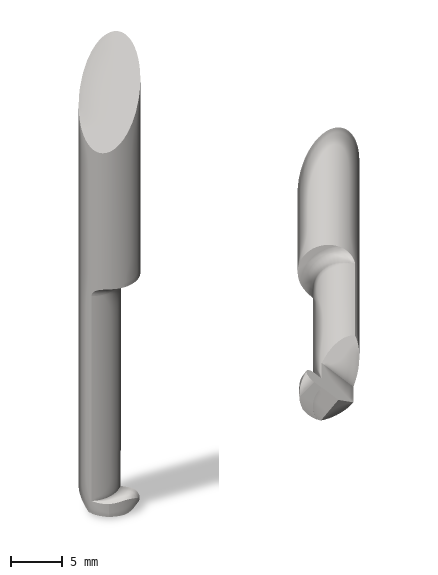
import cadquery as cq
import math

LENGTH = 52.45
DIAMETER = 6.0
RADIUS = DIAMETER / 2
END_ANGLE = 60.0
END_RISE = DIAMETER * math.tan(math.radians(END_ANGLE))
CLEARANCE = 5.25

NECK_SHIFT = 1.95
NECK_TOP = 26.5
NECK_FILLET = 1.15
NECK_EDGE_X = -NECK_SHIFT / 2

RAKE_Y = 0.2
RAKE_HEIGHT = 5.35
BOTTOM_LIFT = 0.1
RELIEF_ANGLE = 4.5

HEAD_HEIGHT = 2.0
HEAD_NOSE_RADIUS = HEAD_HEIGHT / 2
HEEL_X = 0.85
HEEL_Y = -math.sqrt(RADIUS**2 - HEEL_X**2)
FLANK_MIDDLE = (2.2, -1.8)


def neck_cylinder(height):
    return cq.Workplane("XY").center(-NECK_SHIFT, 0).circle(RADIUS).extrude(height)


def blank():
    """Round bar with a slanted top, highest on +Y."""
    bar = cq.Workplane("XY").circle(RADIUS).extrude(LENGTH)
    top_cut = (
        cq.Workplane("YZ")
        .moveTo(RADIUS, LENGTH)
        .lineTo(-RADIUS, LENGTH - END_RISE)
        .lineTo(-RADIUS, LENGTH)
        .close()
        .extrude(RADIUS, both=True)
    )
    return bar.cut(top_cut)


def neck_cutter():
    """Ring around the neck axis, with a rounded inner corner at the shoulder."""
    outer = DIAMETER + CLEARANCE
    corner = NECK_FILLET * (1 - math.sqrt(0.5))
    return (
        cq.Workplane("XZ")
        .moveTo(RADIUS, -CLEARANCE)
        .lineTo(RADIUS, NECK_TOP - NECK_FILLET)
        .threePointArc(
            (RADIUS + corner, NECK_TOP - corner),
            (RADIUS + NECK_FILLET, NECK_TOP),
        )
        .lineTo(outer, NECK_TOP)
        .lineTo(outer, -CLEARANCE)
        .close()
        .revolve(360, (0, 0), (0, 1))
        .translate((-NECK_SHIFT, 0, 0))
    )


def rake_cutter():
    """Removes the +Y half of the tip and the slope leading to it."""
    slope_run = RADIUS - RAKE_Y
    slope_rise = slope_run * math.tan(math.radians(END_ANGLE))
    return (
        cq.Workplane("YZ")
        .moveTo(RAKE_Y, 0)
        .lineTo(RAKE_Y, RAKE_HEIGHT)
        .lineTo(RADIUS, RAKE_HEIGHT + slope_rise)
        .lineTo(RADIUS, 0)
        .close()
        .extrude(RADIUS, both=True)
    )


def corner_cutter():
    """45 degree chamfer under the -X side of the tip."""
    side = NECK_EDGE_X + RADIUS
    return (
        cq.Workplane("XZ")
        .moveTo(NECK_EDGE_X, 0)
        .lineTo(-RADIUS, side)
        .lineTo(-RADIUS, 0)
        .close()
        .extrude(RADIUS, both=True)
    )


def relief_cutter():
    """Trims the bottom face so that it rises behind the rake face."""
    run = RAKE_Y + RADIUS
    rise = run * math.tan(math.radians(RELIEF_ANGLE))
    return (
        cq.Workplane("YZ")
        .moveTo(RAKE_Y, 0)
        .lineTo(RAKE_Y, BOTTOM_LIFT)
        .lineTo(-RADIUS, BOTTOM_LIFT + rise)
        .lineTo(-RADIUS, 0)
        .close()
        .extrude(RADIUS, both=True)
    )


def make_shank():
    shank = blank().cut(neck_cutter())
    shank = shank.cut(rake_cutter())
    shank = shank.cut(corner_cutter())
    return shank.cut(relief_cutter())


def make_head():
    """Round-nosed head around the neck, tapering back from the rake face."""
    nose_center_x = RADIUS - HEAD_NOSE_RADIUS
    profile = (
        cq.Workplane("XZ", origin=(0, RAKE_Y, 0))
        .moveTo(-RADIUS, BOTTOM_LIFT)
        .lineTo(nose_center_x, 0)
        .threePointArc((RADIUS, HEAD_NOSE_RADIUS), (nose_center_x, HEAD_HEIGHT))
        .lineTo(-RADIUS, HEAD_HEIGHT)
        .close()
        .extrude(RADIUS + RAKE_Y, taper=RELIEF_ANGLE)
    )
    heel_middle_x = (NECK_EDGE_X + HEEL_X) / 2
    heel_middle_y = -math.sqrt(RADIUS**2 - heel_middle_x**2)
    neck_edge_y = -math.sqrt(RADIUS**2 - NECK_EDGE_X**2)
    plan = (
        cq.Workplane("XY")
        .moveTo(NECK_EDGE_X, neck_edge_y)
        .threePointArc((heel_middle_x, heel_middle_y), (HEEL_X, HEEL_Y))
        .threePointArc(FLANK_MIDDLE, (RADIUS, RAKE_Y))
        .lineTo(NECK_EDGE_X, RAKE_Y)
        .close()
        .extrude(HEAD_HEIGHT)
    )
    return profile.intersect(plan).cut(neck_cylinder(HEAD_HEIGHT))


shank = make_shank()
head = make_head()
result = cq.Compound.makeCompound([shank.val(), head.val()])